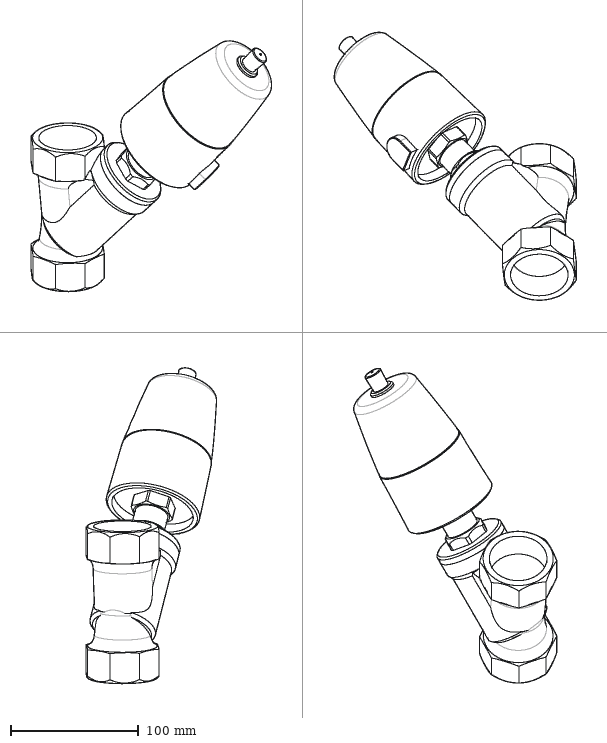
import cadquery as cq
import math


body_height = 120.0
nut_height = 25.0
nut_corner_radius = 30.2
nut_face_radius = 27.5
nut_outer_chamfer = 3.3
nut_inner_chamfer = 0.9
nut_sides = 8
bore_diameter = 45.0
bore_depth = 22.0

lower_neck_radius = 22.1
lower_neck_z = 33.7
neck_waist_radius = 20.4
neck_waist_z = 52.5
neck_hollow = 0.5
lower_flare_radius = 27.2
upper_neck_radius = 23.0
upper_neck_z = 86.5
upper_neck_bottom_z = 54.5
upper_neck_shift = 2.8
upper_flare_radius = 27.0
upper_nut_z = body_height - nut_height

branch_tilt = 42.0
branch_origin_z = 39.0
branch_radius = 26.3
branch_start = -1.5
branch_edge = 2.6
flange_radius = 28.7
flange_cone_start = 59.5
flange_start = 63.3
bonnet_seat = 75.2
web_half_width = 21.7
web_top_z = 102.1
web_chamfer = 5.0
web_reach = 43.8

bonnet_top = 81.3
bonnet_chamfer = 1.5
bonnet_hex_flats = 32.0
bonnet_hex_height = 9.0
bonnet_hex_round = 35.5
bonnet_hex_chamfer = 2.8
neck_tube_diameter = 26.0

housing_start = 109.1
housing_radius = 37.5
housing_edge = 1.5
housing_top_radius = 36.0
housing_top_edge = 0.5
housing_recess_diameter = 65.0
housing_recess_depth = 7.5
collar_start = 105.6
collar_flats = 30.2
collar_round = 34.0
collar_chamfer_width = 2.6
collar_chamfer_height = 1.0
cover_start = 160.8
cover_radius = 35.7
cover_edge = 0.5
cover_bulge = 0.5
cover_shoulder_radius = 27.8
cover_shoulder = 215.8
cover_top_radius = 22.5
cover_top = 220.0

indicator_base_diameter = 20.0
indicator_base_height = 2.8
indicator_rim_height = 1.5
indicator_collar_diameter = 17.3
indicator_root_diameter = 13.0
indicator_tip_diameter = 14.0
indicator_face_diameter = 12.3
indicator_edge = 236.0
indicator_end = 236.7
indicator_dome_height = 0.9
indicator_hole_diameter = 1.5
indicator_hole_depth = 1.0

port_round_axial = 127.8
port_round_radius = 10.5
port_foot_axial = 114.2
port_seat = 34.2
port_end = 42.7
port_chamfer = 0.7


def revolve_outline(points):
    """Turn an outline of (radius, height) points about the Z axis."""
    return cq.Workplane("XZ").polyline(points).close().revolve(360, (0, 0), (0, 1))


def incline(shape):
    """Move a shape from the upright branch frame onto the inclined branch axis."""
    return shape.rotate((0, 0, 0), (0, 1, 0), branch_tilt).translate((0, 0, branch_origin_z))


def rounded_hex(flats, round_diameter, height, chamfer_width, chamfer_height, turn=0.0):
    """Hexagon prism on Z = 0 whose corners are trimmed round, with a chamfered top."""
    corner_diameter = flats / math.cos(math.pi / 6)
    prism = cq.Workplane("XY").polygon(6, corner_diameter).extrude(height)
    prism = prism.rotate((0, 0, 0), (0, 0, 1), turn)
    radius = round_diameter / 2
    trim = revolve_outline([
        (0, 0),
        (radius, 0),
        (radius, height - chamfer_height),
        (radius - chamfer_width, height),
        (0, height),
    ])
    return prism.intersect(trim)


def port_nut():
    """Octagonal end of the body, its outer face at Z = 0."""
    prism = cq.Workplane("XY").polygon(nut_sides, 2 * nut_corner_radius).extrude(nut_height)
    trim = revolve_outline([
        (0, 0),
        (nut_face_radius, 0),
        (nut_corner_radius, nut_outer_chamfer),
        (nut_corner_radius, nut_height - nut_inner_chamfer),
        (nut_face_radius, nut_height),
        (0, nut_height),
    ])
    return prism.intersect(trim)


def flare_arc_middle(neck, rim):
    """Middle of the arc that leaves the neck along Z and widens to the rim."""
    run = abs(rim[1] - neck[1])
    rise = rim[0] - neck[0]
    arc_radius = (run**2 + rise**2) / (2 * rise)
    half_angle = math.asin(run / arc_radius) / 2
    direction = math.copysign(1, rim[1] - neck[1])
    return (
        neck[0] + arc_radius * (1 - math.cos(half_angle)),
        neck[1] + direction * arc_radius * math.sin(half_angle),
    )


def lower_neck():
    """Round waisted neck between the lower nut and the branch."""
    rim = (lower_flare_radius, nut_height)
    neck = (lower_neck_radius, lower_neck_z)
    waist = (neck_waist_radius, neck_waist_z)
    middle = (
        (lower_neck_radius + neck_waist_radius) / 2 - neck_hollow,
        (lower_neck_z + neck_waist_z) / 2,
    )
    outline = (
        cq.Workplane("XZ").moveTo(0, nut_height).lineTo(*rim)
        .threePointArc(flare_arc_middle(neck, rim), neck)
        .threePointArc(middle, waist)
        .lineTo(neck_waist_radius, upper_neck_z).lineTo(0, upper_neck_z).close()
    )
    return outline.revolve(360, (0, 0), (0, 1))


def upper_neck():
    """Oblique round neck that leans towards the branch, with a flare under the nut."""
    oblique = (
        cq.Workplane("XY", origin=(upper_neck_shift, 0, upper_neck_bottom_z))
        .circle(upper_neck_radius)
        .workplane(offset=upper_neck_z - upper_neck_bottom_z)
        .center(-upper_neck_shift, 0)
        .circle(upper_neck_radius)
        .loft(ruled=True)
    )
    rim = (upper_flare_radius, upper_nut_z)
    neck = (upper_neck_radius, upper_neck_z)
    flare = (
        cq.Workplane("XZ").moveTo(0, upper_neck_z).lineTo(*neck)
        .threePointArc(flare_arc_middle(neck, rim), rim)
        .lineTo(0, upper_nut_z).close()
        .revolve(360, (0, 0), (0, 1))
    )
    return oblique.union(flare)


def branch():
    """Inclined round branch that widens to the flange under the bonnet."""
    return incline(revolve_outline([
        (0, branch_start),
        (branch_radius - branch_edge, branch_start),
        (branch_radius, branch_start + branch_edge),
        (branch_radius, flange_cone_start),
        (flange_radius, flange_start),
        (flange_radius, bonnet_seat),
        (0, bonnet_seat),
    ]))


def branch_web():
    """Flat-sided web that fills the corner between the upper neck and the branch."""
    plate = incline(
        cq.Workplane("XY", origin=(-web_reach / 2, 0, 0))
        .box(web_reach, 2 * web_half_width, flange_start, centered=(True, True, False))
    )
    limit = (
        cq.Workplane("XY", origin=(web_reach / 2, 0, upper_neck_bottom_z))
        .box(web_reach, 2 * web_half_width, web_top_z - upper_neck_bottom_z, centered=(True, True, False))
        .faces(">Z").edges("|X").chamfer(web_chamfer)
    )
    return plate.intersect(limit)


def make_body():
    """Body with both port nuts, necks and the inclined branch, bored at each end."""
    body = lower_neck().union(upper_neck()).union(branch()).union(branch_web())
    body = body.union(port_nut())
    body = body.union(port_nut().mirror("XY").translate((0, 0, body_height)))
    for floor_z in (0, body_height - bore_depth):
        bore = cq.Workplane("XY", origin=(0, 0, floor_z)).circle(bore_diameter / 2).extrude(bore_depth)
        body = body.cut(bore)
    return body


def make_bonnet(body):
    """Bonnet disc with its hexagon and the neck tube, relieved where the upper nut's corner reaches it."""
    disc = revolve_outline([
        (0, bonnet_seat),
        (flange_radius, bonnet_seat),
        (flange_radius, bonnet_top - bonnet_chamfer),
        (flange_radius - bonnet_chamfer, bonnet_top),
        (0, bonnet_top),
    ])
    hexagon = rounded_hex(
        bonnet_hex_flats, bonnet_hex_round, bonnet_hex_height,
        bonnet_hex_chamfer, bonnet_hex_chamfer, turn=30,
    )
    hexagon = hexagon.translate((0, 0, bonnet_top))
    tube = (
        cq.Workplane("XY", origin=(0, 0, bonnet_top))
        .circle(neck_tube_diameter / 2).extrude(collar_start - bonnet_top)
    )
    return incline(disc.union(hexagon).union(tube)).cut(body)


def make_port():
    """Air-port block that stands out sideways from the housing, rounded towards the cover."""
    block = (
        cq.Workplane("YZ", origin=(port_seat, 0, 0))
        .moveTo(-port_round_radius, port_foot_axial)
        .lineTo(port_round_radius, port_foot_axial)
        .lineTo(port_round_radius, port_round_axial)
        .threePointArc(
            (0, port_round_axial + port_round_radius), (-port_round_radius, port_round_axial)
        )
        .close().extrude(port_end - port_seat)
        .faces(">X").chamfer(port_chamfer)
    )
    return incline(block)


def make_housing(port):
    """Conical housing with a hexagon collar in its recessed underside and a seat for the port."""
    shell = revolve_outline([
        (0, housing_start),
        (housing_radius - housing_edge, housing_start),
        (housing_radius, housing_start + housing_edge),
        (housing_top_radius, cover_start - housing_top_edge),
        (housing_top_radius - housing_top_edge, cover_start),
        (0, cover_start),
    ])
    recess = (
        cq.Workplane("XY", origin=(0, 0, housing_start))
        .circle(housing_recess_diameter / 2).extrude(housing_recess_depth)
    )
    collar_top = housing_start + housing_recess_depth
    collar = rounded_hex(
        collar_flats, collar_round, collar_top - collar_start,
        collar_chamfer_width, collar_chamfer_height,
    )
    collar = collar.mirror("XY").translate((0, 0, collar_top))
    return incline(shell.cut(recess).union(collar)).cut(port)


def make_cover():
    """Tapered cover with a slightly bulging side and a rounded crown."""
    middle = (
        (cover_radius + cover_shoulder_radius) / 2 + cover_bulge,
        (cover_start + cover_shoulder) / 2,
    )
    crown_lean = math.sqrt(0.5)
    crown_middle = (
        cover_top_radius + (cover_shoulder_radius - cover_top_radius) * crown_lean,
        cover_shoulder + (cover_top - cover_shoulder) * crown_lean,
    )
    outline = (
        cq.Workplane("XZ").moveTo(0, cover_start)
        .lineTo(cover_radius - cover_edge, cover_start)
        .lineTo(cover_radius, cover_start + cover_edge)
        .threePointArc(middle, (cover_shoulder_radius, cover_shoulder))
        .threePointArc(crown_middle, (cover_top_radius, cover_top))
        .lineTo(0, cover_top).close()
    )
    return incline(outline.revolve(360, (0, 0), (0, 1)))


def make_indicator():
    """Round pin with a chamfered base and a domed tip that has a small centre hole."""
    base_top = cover_top + indicator_base_height
    face_radius = indicator_face_diameter / 2
    dome_top = indicator_end + indicator_dome_height
    pin = revolve_outline([
        (0, cover_top),
        (indicator_base_diameter / 2, cover_top),
        (indicator_base_diameter / 2, cover_top + indicator_rim_height),
        (indicator_collar_diameter / 2, base_top),
        (indicator_root_diameter / 2, base_top),
        (indicator_tip_diameter / 2, indicator_edge),
        (face_radius, indicator_end),
        (0, indicator_end),
    ])
    dome_radius = (face_radius**2 + indicator_dome_height**2) / (2 * indicator_dome_height)
    dome_half_angle = math.asin(face_radius / dome_radius) / 2
    dome_middle = (
        dome_radius * math.sin(dome_half_angle),
        dome_top - dome_radius * (1 - math.cos(dome_half_angle)),
    )
    dome = (
        cq.Workplane("XZ").moveTo(0, indicator_end).lineTo(face_radius, indicator_end)
        .threePointArc(dome_middle, (0, dome_top))
        .close().revolve(360, (0, 0), (0, 1))
    )
    hole = (
        cq.Workplane("XY", origin=(0, 0, dome_top - indicator_hole_depth))
        .circle(indicator_hole_diameter / 2).extrude(indicator_hole_depth)
    )
    pin = pin.union(dome)
    return incline(pin.cut(hole))


body = make_body()
bonnet = make_bonnet(body)
port = make_port()
housing = make_housing(port)
cover = make_cover()
indicator = make_indicator()

result = cq.Compound.makeCompound([
    body.val(),
    bonnet.val(),
    housing.val(),
    cover.val(),
    indicator.val(),
    port.val(),
])